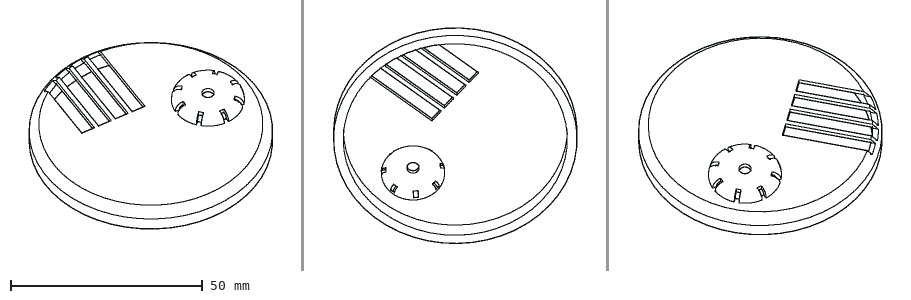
import cadquery as cq

cover_radius = 31.75
rim_height = 3.8
bevel = 2.55
plate_thickness = 1.3
wall_thickness = 2.55
plate_top = rim_height + bevel
plate_underside = plate_top - plate_thickness

dome_y = 17.3
dome_radius = 9.5
dome_height = 2.55
dome_round = 2.3
dome_wall = 1.3
dome_top = plate_top + dome_height
dome_ceiling = dome_top - dome_wall
centre_hole_diameter = 3.2

notch_count = 8
notch_width = 1.3
notch_inner_radius = 7.1

slot_count = 4
slot_width = 3.8
slot_pitch = 5.1
slot_end_x = -6.35
first_slot_depth = plate_thickness
other_slot_depth = 1.6


def disc(radius, bottom, top, y=0.0):
    """Upright cylinder centred on x = 0."""
    return cq.Workplane("XY").workplane(offset=bottom).center(0, y).circle(radius).extrude(top - bottom)


def bevelled_cover():
    """Solid cover with a 45 degree bevel around its top edge."""
    return disc(cover_radius, 0, plate_top).faces(">Z").chamfer(bevel)


def dome():
    """Low boss with a rounded upper edge."""
    return disc(dome_radius, plate_top, dome_top, dome_y).faces(">Z").edges().fillet(dome_round)


def dome_cavity():
    """Hollow of the dome, opening down through the plate, rounded to keep the wall even."""
    cavity = disc(dome_radius - dome_wall, plate_underside, dome_ceiling, dome_y)
    return cavity.faces(">Z").edges().fillet(dome_round - dome_wall)


def dome_notches():
    """Ring of radial notches from the flat of the dome out past its wall."""
    length = dome_radius - notch_inner_radius + notch_width
    return (
        cq.Workplane("XY")
        .workplane(offset=plate_top)
        .center(0, dome_y)
        .polarArray(notch_inner_radius + length / 2, 0, 360, notch_count)
        .rect(length, notch_width)
        .extrude(dome_height)
    )


def vent_slot(y, depth):
    """Straight slot sunk from the plate top and running out past the -X edge."""
    length = cover_radius + slot_end_x
    return (
        cq.Workplane("XY")
        .workplane(offset=plate_top - depth)
        .center(slot_end_x - length / 2, y)
        .rect(length, slot_width)
        .extrude(depth)
    )


def vent_slots():
    """Row of slots stepping toward -Y; those after the first bite deeper into the rim wall."""
    slots = vent_slot(0, first_slot_depth)
    for i in range(1, slot_count):
        slots = slots.union(vent_slot(-i * slot_pitch, other_slot_depth))
    return slots


cover_cavity = disc(cover_radius - wall_thickness, 0, plate_underside)
centre_hole = disc(centre_hole_diameter / 2, dome_ceiling, dome_top, dome_y)

result = (
    bevelled_cover()
    .union(dome())
    .cut(cover_cavity)
    .cut(dome_cavity())
    .cut(dome_notches())
    .cut(centre_hole)
    .cut(vent_slots())
)